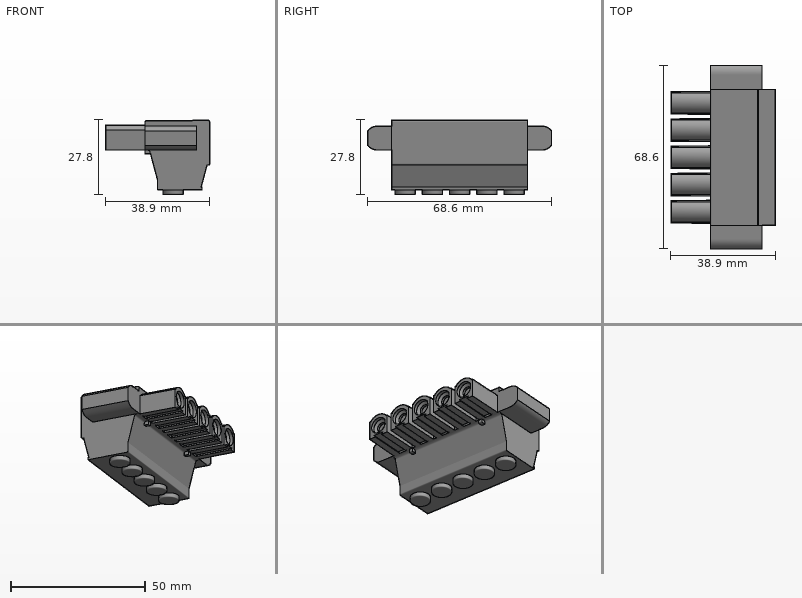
import cadquery as cq


pole_count = 5
pole_pitch = 10.16
pole_positions = [(i - (pole_count - 1) / 2) * pole_pitch for i in range(pole_count)]

body_width = 50.7
body_depth = 24.2
body_height = 26.0
top_step_height = 0.2
top_ramp_start = 17.6
top_ramp_end = 18.0
overhang_height = 14.8
slope_top_x = 1.7
foot_front_x = 4.6
foot_front_height = 3.9
back_step_height = 9.2
back_step_x = 23.2
foot_back_x = 21.3
lip_height = 0.95
lip_size = 0.3
front_edge_radius = 0.6
back_edge_radius = 0.8
back_step_radius = 0.5
foot_edge_radius = 0.4
overhang_radius = 1.0

overall_width = 68.56
wing_depth = 19.3
wing_height = 8.95
wing_bottom = overhang_height
wing_round_length = 3.5
wing_round_drop = 1.8

plug_length = 14.7
plug_tip_width = 8.4
plug_root_width = 8.65
plug_axis_height = 19.4
plug_round_radius = 4.7
plug_shoulder_height = 22.25

socket_mouth_radius = 3.2
socket_inner_radius = 2.0
socket_mouth_depth = 1.35
socket_cone_end = 2.05
socket_depth = 3.0

groove_top_width = 4.2
groove_bottom_width = 3.0
groove_height = 0.85

key_width = 1.5
key_height = 1.4
key_depth = 1.9
key_offset = 16.5
key_edge_radius = 0.2

screw_diameter = 7.6
screw_height = 1.8
screw_x = 10.5
screw_edge_radius = 0.35


def edge_at(x, z):
    """Box selector for the body edge that runs along Y through (x, z)."""
    reach = 0.05
    half_length = body_width
    return cq.selectors.BoxSelector(
        (x - reach, -half_length, z - reach),
        (x + reach, half_length, z + reach),
    )


def make_body():
    front_height = body_height - top_step_height
    profile = [
        (0, overhang_height),
        (0, front_height),
        (top_ramp_start, front_height),
        (top_ramp_end, body_height),
        (body_depth, body_height),
        (body_depth, back_step_height),
        (back_step_x, back_step_height),
        (foot_back_x - lip_size, lip_height),
        (foot_back_x, lip_height),
        (foot_back_x, 0),
        (foot_front_x, 0),
        (foot_front_x, foot_front_height),
        (slope_top_x, overhang_height),
    ]
    body = cq.Workplane("XZ").polyline(profile).close().extrude(body_width / 2, both=True)
    rounded_edges = [
        (0, front_height, front_edge_radius),
        (body_depth, body_height, back_edge_radius),
        (body_depth, back_step_height, back_step_radius),
        (foot_front_x, 0, foot_edge_radius),
        (slope_top_x, overhang_height, overhang_radius),
    ]
    for x, z, radius in rounded_edges:
        body = body.edges(edge_at(x, z)).fillet(radius)
    return body


def make_wings():
    """One bar across the body whose rounded ends stand out as the two wings."""
    half = overall_width / 2
    half_height = wing_height / 2
    flat_half = half - wing_round_length
    side_half = half_height - wing_round_drop
    radius = (wing_round_length**2 + wing_round_drop**2) / (2 * wing_round_drop)
    return (
        cq.Workplane("YZ", origin=(0, 0, wing_bottom + half_height))
        .moveTo(-flat_half, half_height)
        .lineTo(flat_half, half_height)
        .radiusArc((half, side_half), radius)
        .lineTo(half, -side_half)
        .radiusArc((flat_half, -half_height), radius)
        .lineTo(-flat_half, -half_height)
        .radiusArc((-half, -side_half), radius)
        .lineTo(-half, side_half)
        .radiusArc((-flat_half, half_height), radius)
        .close()
        .extrude(wing_depth)
    )


def make_plug_block():
    """Drafted block with a round crown, reaching from the plug tip to the body front."""
    tip_half = plug_tip_width / 2
    root_half = plug_root_width / 2
    block = (
        cq.Workplane("XY", origin=(0, 0, overhang_height))
        .polyline([(-plug_length, -tip_half), (0, -root_half), (0, root_half), (-plug_length, tip_half)])
        .close()
        .extrude(plug_shoulder_height - overhang_height)
    )
    crown = (
        cq.Workplane("YZ", origin=(-plug_length, 0, plug_axis_height))
        .circle(plug_round_radius)
        .extrude(plug_length)
    )
    above_shoulder = (
        cq.Workplane("XY")
        .box(plug_length, 2 * plug_round_radius, plug_round_radius, centered=(False, True, False))
        .translate((-plug_length, 0, plug_shoulder_height))
    )
    return block.union(crown.intersect(above_shoulder))


def make_socket():
    return (
        cq.Workplane("XZ")
        .polyline([
            (-plug_length, 0),
            (-plug_length, socket_mouth_radius),
            (-plug_length + socket_mouth_depth, socket_mouth_radius),
            (-plug_length + socket_cone_end, socket_inner_radius),
            (-plug_length + socket_depth, socket_inner_radius),
            (-plug_length + socket_depth, 0),
        ])
        .close()
        .revolve(360, (0, 0), (1, 0))
        .translate((0, 0, plug_axis_height))
    )


def make_groove():
    top_half = groove_top_width / 2
    bottom_half = groove_bottom_width / 2
    return (
        cq.Workplane("YZ", origin=(-plug_length, 0, overhang_height))
        .polyline([(-bottom_half, 0), (bottom_half, 0), (top_half, groove_height), (-top_half, groove_height)])
        .close()
        .extrude(plug_length)
    )


def make_plug():
    return make_plug_block().cut(make_socket()).cut(make_groove())


def make_key(y):
    return (
        cq.Workplane("XY")
        .box(key_depth, key_width, key_height, centered=(False, True, False))
        .edges("<X and <Z")
        .fillet(key_edge_radius)
        .translate((0, y, overhang_height - key_height))
    )


def make_screw_head():
    return (
        cq.Workplane("XY", origin=(screw_x, 0, -screw_height))
        .circle(screw_diameter / 2)
        .extrude(screw_height)
        .faces("<Z")
        .edges()
        .fillet(screw_edge_radius)
    )


result = make_body().union(make_wings())
for side in (-1, 1):
    result = result.union(make_key(side * key_offset))
plug = make_plug()
screw_head = make_screw_head()
for y in pole_positions:
    result = result.union(plug.translate((0, y, 0)))
    result = result.union(screw_head.translate((0, y, 0)))